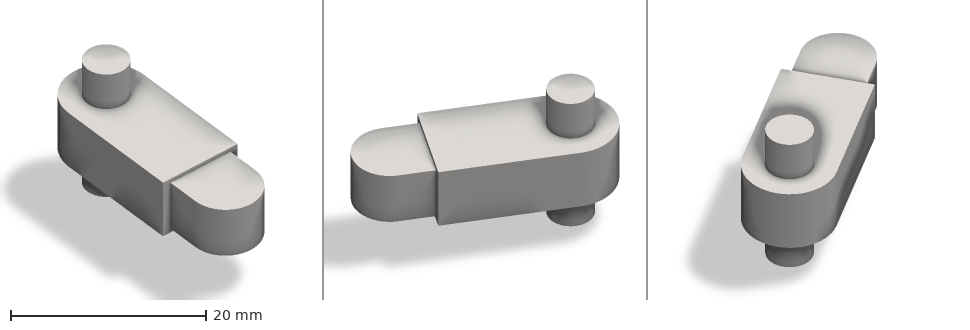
import cadquery as cq

overall_length = 28.0
body_width = 10.0
body_length = 20.0
body_height = 7.0
tongue_width = 8.0
tongue_height = 6.0
pin_diameter = 5.0
pin_length = 16.0

body_radius = body_width / 2
tongue_radius = tongue_width / 2
body_end = body_length - body_radius
tongue_tip = overall_length - body_radius
tongue_center = tongue_tip - tongue_radius


def round_ended_bar(flat_x, round_center_x, tip_x, width, height):
    """Bar with a flat end at flat_x and a half-round end reaching tip_x."""
    half_width = width / 2
    return (
        cq.Workplane("XY")
        .workplane(offset=-height / 2)
        .moveTo(flat_x, -half_width)
        .lineTo(round_center_x, -half_width)
        .threePointArc((tip_x, 0), (round_center_x, half_width))
        .lineTo(flat_x, half_width)
        .close()
        .extrude(height)
    )


body = round_ended_bar(body_end, 0, -body_radius, body_width, body_height)

tongue = round_ended_bar(body_end, tongue_center, tongue_tip, tongue_width, tongue_height)

pin = cq.Workplane("XY").circle(pin_diameter / 2).extrude(pin_length / 2, both=True)

result = body.union(tongue).union(pin)